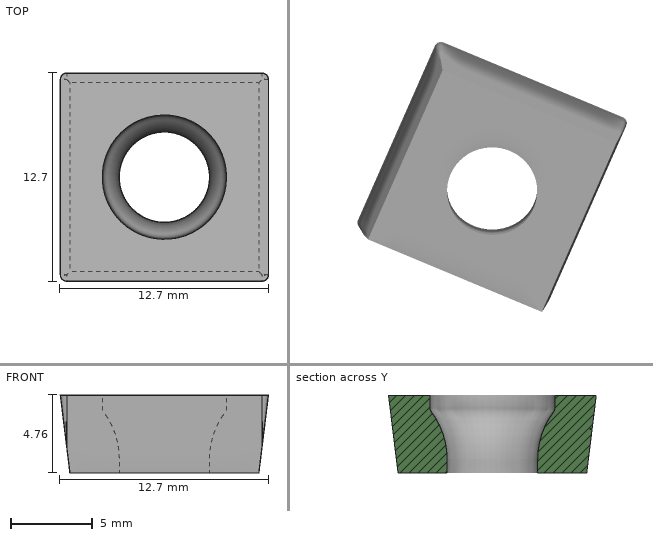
import cadquery as cq
import math

SIDE = 12.7
THICKNESS = 4.76
CLEARANCE_ANGLE = 7.0
NOSE_RADIUS = 0.4

HOLE_DIAMETER = 5.5
RECESS_DIAMETER = 7.58
RECESS_DEPTH = 0.82
SEAT_CURVE_RADIUS = 4.8
BLEND_RADIUS = 0.3

half_side = SIDE / 2
flank_slope = math.tan(math.radians(CLEARANCE_ANGLE))
nose_height = NOSE_RADIUS / flank_slope
nose_offset = half_side - NOSE_RADIUS


def tapered_block(x_size, y_size, top, height, x_leans=True, y_leans=True):
    """Block measured at its top face, narrowed toward the bottom across its leaning sides."""
    narrowing = 2 * height * flank_slope
    bottom_x = x_size - narrowing if x_leans else x_size
    bottom_y = y_size - narrowing if y_leans else y_size
    return (
        cq.Workplane("XY")
        .workplane(offset=top)
        .rect(x_size, y_size)
        .workplane(offset=-height)
        .rect(bottom_x, bottom_y)
        .loft(ruled=True)
    )


def make_body():
    """Block with leaning flanks: sharp corners below, nose cones at the corners above."""
    apex_height = THICKNESS - nose_height
    core = 2 * nose_offset
    body = tapered_block(core, core, apex_height, apex_height)
    body = body.union(tapered_block(SIDE, core, THICKNESS, nose_height, y_leans=False))
    body = body.union(tapered_block(core, SIDE, THICKNESS, nose_height, x_leans=False))
    for x_sign in (-1, 1):
        for y_sign in (-1, 1):
            apex = cq.Vector(x_sign * nose_offset, y_sign * nose_offset, apex_height)
            cone = cq.Solid.makeCone(0, NOSE_RADIUS, nose_height, apex, cq.Vector(0, 0, 1))
            body = body.union(cq.Workplane(cone))
    return body.clean()


def make_screw_hole():
    """Through hole: recess, blend and curved seat, each tangent to the next, then the bore."""
    bore_radius = HOLE_DIAMETER / 2
    recess_radius = RECESS_DIAMETER / 2

    radius_sum = SEAT_CURVE_RADIUS + BLEND_RADIUS
    sweep_angle = math.acos((radius_sum - (recess_radius - bore_radius)) / radius_sum)
    blend_top = THICKNESS - RECESS_DEPTH
    seat_bottom = blend_top - radius_sum * math.sin(sweep_angle)

    def seat_point(angle):
        return (
            bore_radius + SEAT_CURVE_RADIUS * (1 - math.cos(angle)),
            seat_bottom + SEAT_CURVE_RADIUS * math.sin(angle),
        )

    def blend_point(angle):
        return (
            recess_radius - BLEND_RADIUS * (1 - math.cos(angle)),
            blend_top - BLEND_RADIUS * math.sin(angle),
        )

    return (
        cq.Workplane("XZ")
        .moveTo(0, 0)
        .lineTo(bore_radius, 0)
        .lineTo(bore_radius, seat_bottom)
        .threePointArc(seat_point(sweep_angle / 2), seat_point(sweep_angle))
        .threePointArc(blend_point(sweep_angle / 2), (recess_radius, blend_top))
        .lineTo(recess_radius, THICKNESS)
        .lineTo(0, THICKNESS)
        .close()
        .revolve(360, (0, 0, 0), (0, 1, 0))
    )


result = make_body().cut(make_screw_hole())